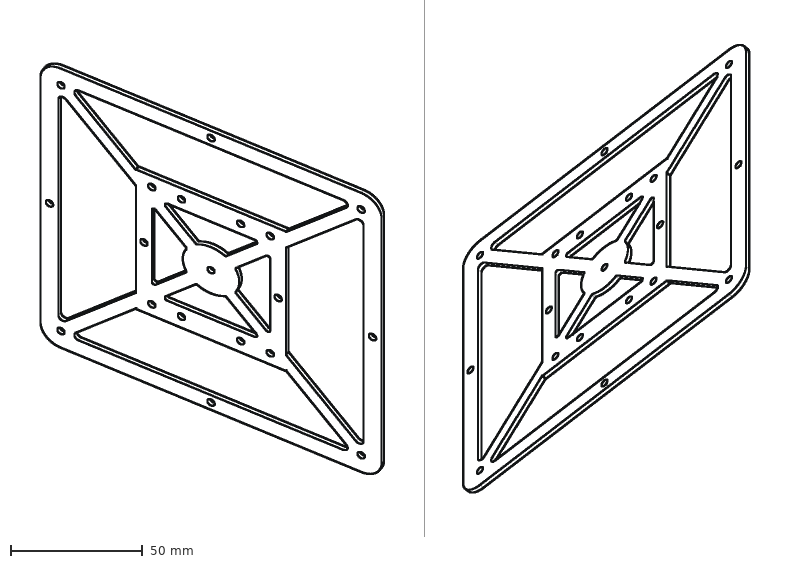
import cadquery as cq
import math

frame_side = 150.0
thickness = 2.0
corner_radius = 9.0
frame_bar = 8.0

plate_width = 66.0
plate_height = 75.0
plate_window = 52.0
hub_radius = 12.5

spoke_width = 6.0
frame_window_radius = 2.0
plate_window_radius = 1.0
hub_corner_radius = 0.6

hole_diameter = 3.2
hub_hole_diameter = 3.0
plate_hole_height = 31.5

frame_window = frame_side - 2 * frame_bar
corner_hole_offset = frame_side / 2 - corner_radius
frame_hole_offset = (frame_side + frame_window) / 4
plate_side_hole_offset = (plate_width + plate_window) / 4
plate_outer_hole_x = plate_window / 2
plate_inner_hole_x = plate_outer_hole_x / 2


def slab(sketch):
    """Extrude an XZ sketch through the plate thickness, centred on Y = 0."""
    return sketch.extrude(thickness / 2, both=True)


def rectangle(width, height):
    return slab(cq.Workplane("XZ").rect(width, height))


def window_sector(window_side, radius):
    """Triangle between two spokes, above the centre, with its two outer corners rounded."""
    top = window_side / 2
    apex = spoke_width / math.sqrt(2)
    half_base = top - apex
    triangle = slab(cq.Workplane("XZ").polyline([(0, apex), (half_base, top), (-half_base, top)]).close())
    return triangle.edges("|Y").edges(">Z").fillet(radius)


def four_windows(window):
    """The given window repeated in quarter turns about the centre."""
    windows = window
    for quarter_turn in range(1, 4):
        windows = windows.union(window.rotate((0, 0, 0), (0, 1, 0), 90 * quarter_turn))
    return windows


def holes(points, diameter):
    return slab(cq.Workplane("XZ").pushPoints(points).circle(diameter / 2))


def mirrored(x, z):
    """The point and its mirror images about both centre lines."""
    return [(side_x * x, side_z * z) for side_x in (-1, 1) for side_z in (-1, 1)]


result = rectangle(frame_side, frame_side).edges("|Y").fillet(corner_radius)

plate = rectangle(plate_width, plate_height)
hub = slab(cq.Workplane("XZ").circle(hub_radius))
hub_window = window_sector(plate_window, plate_window_radius).cut(hub)
hub_window = hub_window.edges("|Y").edges("<Z").fillet(hub_corner_radius)
result = result.cut(four_windows(window_sector(frame_window, frame_window_radius)).cut(plate))
result = result.cut(four_windows(hub_window))

hole_points = mirrored(corner_hole_offset, corner_hole_offset)
for side in (-1, 1):
    hole_points.append((side * frame_hole_offset, 0))
    hole_points.append((0, side * frame_hole_offset))
    hole_points.append((side * plate_side_hole_offset, 0))
for hole_x in (plate_inner_hole_x, plate_outer_hole_x):
    hole_points += mirrored(hole_x, plate_hole_height)
result = result.cut(holes(hole_points, hole_diameter))

result = result.cut(holes([(0, 0)], hub_hole_diameter))